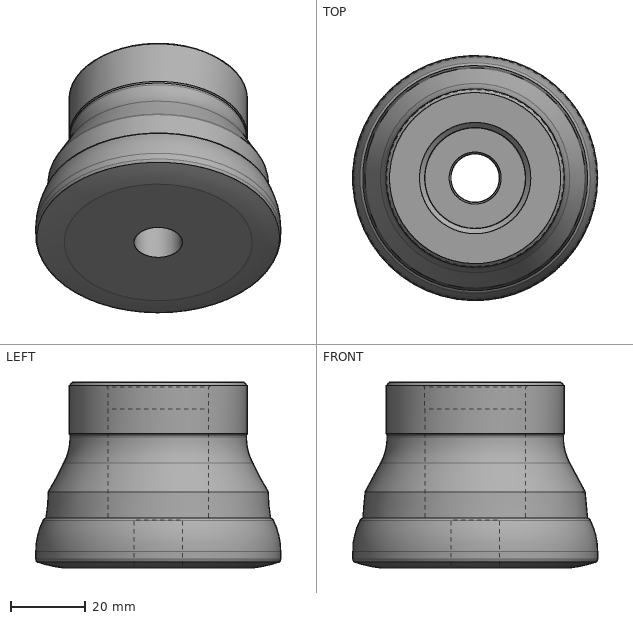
import cadquery as cq
import math

total_height = 50.0
ledge_height = 13.45

foot_radius = 32.95
band_bottom = 2.5
band_top = 4.5
side_top_radius = 31.0
side_top_height = 12.85
lower_edge_radius = 32.6
lower_edge_height = 1.65
lower_edge_bulge = 0.05
flat_bottom_radius = 25.25
underside_bulge = 0.2
hole_radius = 13.0 / 2
hole_chamfer = 0.495

skirt_bottom_radius = 30.25
skirt_top_radius = 29.6
skirt_top_height = 20.5
skirt_rounding = 0.65
neck_radius = 47.5 / 2
neck_top = 35.8
neck_arc_top = 35.2
cone_top_radius = 25.45
cone_top_height = 28.3
collar_radius = 48.0 / 2
collar_bottom = 36.2
collar_chamfer = 1.0

lower_bore_radius = 27.0 / 2
upper_bore_radius = 27.15 / 2
bore_step_height = 42.7
mouth_radius = 29.9 / 2
mouth_depth = mouth_radius - upper_bore_radius


def arc_middle(start, end, bulge):
    """Point beside the middle of a chord, shifted to the right of its direction."""
    run = end[0] - start[0]
    rise = end[1] - start[1]
    chord = math.hypot(run, rise)
    return (
        (start[0] + end[0]) / 2 + bulge * rise / chord,
        (start[1] + end[1]) / 2 - bulge * run / chord,
    )


def revolve_profile(profile):
    """Turn a closed radius-height outline around the Z axis."""
    return profile.close().revolve(360, (0, 0, 0), (0, 1, 0))


def make_foot():
    """Bulged foot with a domed underside, a rounded shoulder and a central hole."""
    underside_start = (flat_bottom_radius, 0)
    underside_end = (lower_edge_radius, lower_edge_height)
    band_start = (foot_radius, band_bottom)
    profile = (
        cq.Workplane("XZ")
        .moveTo(hole_radius, 0)
        .lineTo(*underside_start)
        .threePointArc(arc_middle(underside_start, underside_end, underside_bulge), underside_end)
        .threePointArc(arc_middle(underside_end, band_start, lower_edge_bulge), band_start)
        .lineTo(foot_radius, band_top)
        .tangentArcPoint((side_top_radius, side_top_height), relative=False)
        .tangentArcPoint((skirt_bottom_radius, ledge_height), relative=False)
        .lineTo(hole_radius + hole_chamfer, ledge_height)
        .lineTo(hole_radius, ledge_height - hole_chamfer)
    )
    return revolve_profile(profile)


def make_housing():
    """Flared housing with a conical skirt, a concave neck, a collar and a stepped bore."""
    profile = (
        cq.Workplane("XZ")
        .moveTo(lower_bore_radius, ledge_height)
        .lineTo(skirt_bottom_radius, ledge_height)
        .lineTo(skirt_top_radius, skirt_top_height)
        .lineTo(cone_top_radius, cone_top_height)
        .tangentArcPoint((neck_radius, neck_arc_top), relative=False)
        .lineTo(neck_radius, neck_top)
        .lineTo(collar_radius, collar_bottom)
        .lineTo(collar_radius, total_height - collar_chamfer)
        .lineTo(collar_radius - collar_chamfer, total_height)
        .lineTo(mouth_radius, total_height)
        .lineTo(upper_bore_radius, total_height - mouth_depth)
        .lineTo(upper_bore_radius, bore_step_height)
        .lineTo(lower_bore_radius, bore_step_height)
    )
    skirt_top_edge = cq.selectors.RadiusNthSelector(-2)
    return revolve_profile(profile).edges("%CIRCLE").edges(skirt_top_edge).fillet(skirt_rounding)


foot = make_foot()
housing = make_housing()

result = cq.Compound.makeCompound([foot.val(), housing.val()])